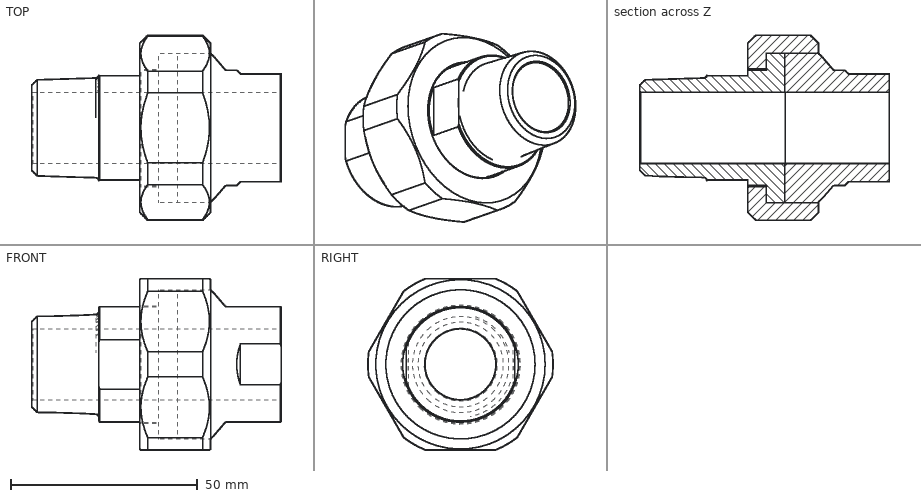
import cadquery as cq
import math

TOTAL_LENGTH = 67.0
BORE_DIAMETER = 19.0
BODY_DIAMETER = 31.0
EDGE_CHAMFER = 0.3

NUT_START = 29.0
NUT_END = 48.0
NUT_ACROSS_FLATS = 46.0
NUT_CORNER_DIAMETER = 1.08 * NUT_ACROSS_FLATS
NUT_FACE_DIAMETER = 45.4
NUT_LIP_LENGTH = 5.0
NUT_LIP_BORE_DIAMETER = 31.5
NUT_LIP_CHAMFER = 0.25

CONE_STEP_X = 49.0
CONE_STEP_DIAMETER = 38.0
CONE_END = 52.0
CONE_ROOT_FILLET = 0.5
SEAT_DIAMETER = CONE_STEP_DIAMETER + 2 * (CONE_STEP_X - NUT_END)

COLLAR_START = NUT_START + NUT_LIP_LENGTH
COLLAR_LENGTH = 5.0
JOINT_X = COLLAR_START + COLLAR_LENGTH

THREAD_END = 17.25
THREAD_ROOT_FILLET = 0.75
THREAD_END_DIAMETER = 26.8
THREAD_TAPER = 1 / 16
THREAD_CHAMFER = 1.5
SHOULDER_X = THREAD_END + THREAD_ROOT_FILLET

TAIL_FLAT_WIDTH = 28.0
FEMALE_FLAT_WIDTH = 29.0
FEMALE_FLAT_START = 56.0


def revolve_about_x(profile):
    """Revolve an XY outline, with Y as the radius, around the X axis."""
    return profile.close().revolve(360, (0, 0, 0), (1, 0, 0))


def flat_cutters(start, end, flat_width, ramp_length=0):
    """Two cutters that leave flat_width across Y, with an optional ramp rising ahead of start."""
    flat_radius = flat_width / 2
    body_radius = BODY_DIAMETER / 2
    outline = [
        (start, flat_radius),
        (end, flat_radius),
        (end, body_radius),
        (start - ramp_length, body_radius),
    ]
    upper = cq.Workplane("XY").polyline(outline).close().extrude(body_radius, both=True)
    return upper.union(upper.mirror("XZ"))


def make_nut():
    hexagon = (
        cq.Workplane("YZ", origin=(NUT_START, 0, 0))
        .polygon(6, NUT_ACROSS_FLATS / math.cos(math.pi / 6))
        .extrude(NUT_END - NUT_START)
    )
    corner_radius = NUT_CORNER_DIAMETER / 2
    face_radius = NUT_FACE_DIAMETER / 2
    corner_chamfer = corner_radius - face_radius
    envelope = revolve_about_x(
        cq.Workplane("XY")
        .moveTo(NUT_START, 0)
        .lineTo(NUT_START, face_radius)
        .lineTo(NUT_START + corner_chamfer, corner_radius)
        .lineTo(NUT_END - corner_chamfer, corner_radius)
        .lineTo(NUT_END, face_radius)
        .lineTo(NUT_END, 0)
    )
    lip_radius = NUT_LIP_BORE_DIAMETER / 2
    seat_radius = SEAT_DIAMETER / 2
    cavity = revolve_about_x(
        cq.Workplane("XY")
        .moveTo(NUT_START, 0)
        .lineTo(NUT_START, lip_radius + NUT_LIP_CHAMFER)
        .lineTo(NUT_START + NUT_LIP_CHAMFER, lip_radius)
        .lineTo(COLLAR_START, lip_radius)
        .lineTo(COLLAR_START, seat_radius)
        .lineTo(NUT_END, seat_radius)
        .lineTo(NUT_END, 0)
    )
    return hexagon.intersect(envelope).cut(cavity)


def make_tailpiece():
    bore_radius = BORE_DIAMETER / 2
    body_radius = BODY_DIAMETER / 2
    collar_radius = SEAT_DIAMETER / 2
    thread_end_radius = THREAD_END_DIAMETER / 2
    thread_start_radius = thread_end_radius - (THREAD_END - THREAD_CHAMFER) * THREAD_TAPER / 2
    fillet_middle = THREAD_ROOT_FILLET * math.sin(math.pi / 4)
    turned = revolve_about_x(
        cq.Workplane("XY")
        .moveTo(0, bore_radius + EDGE_CHAMFER)
        .lineTo(0, thread_start_radius - THREAD_CHAMFER)
        .lineTo(THREAD_CHAMFER, thread_start_radius)
        .lineTo(THREAD_END, thread_end_radius)
        .threePointArc(
            (THREAD_END + fillet_middle, thread_end_radius + THREAD_ROOT_FILLET - fillet_middle),
            (SHOULDER_X, thread_end_radius + THREAD_ROOT_FILLET),
        )
        .lineTo(SHOULDER_X, body_radius - EDGE_CHAMFER)
        .lineTo(SHOULDER_X + EDGE_CHAMFER, body_radius)
        .lineTo(COLLAR_START, body_radius)
        .lineTo(COLLAR_START, collar_radius)
        .lineTo(JOINT_X, collar_radius)
        .lineTo(JOINT_X, bore_radius)
        .lineTo(EDGE_CHAMFER, bore_radius)
    )
    return turned.cut(flat_cutters(SHOULDER_X, NUT_START, TAIL_FLAT_WIDTH))


def make_female_end():
    bore_radius = BORE_DIAMETER / 2
    body_radius = BODY_DIAMETER / 2
    seat_radius = SEAT_DIAMETER / 2
    turned = revolve_about_x(
        cq.Workplane("XY")
        .moveTo(JOINT_X, bore_radius)
        .lineTo(JOINT_X, seat_radius)
        .lineTo(NUT_END, seat_radius)
        .lineTo(CONE_STEP_X, CONE_STEP_DIAMETER / 2)
        .lineTo(CONE_END, body_radius)
        .lineTo(TOTAL_LENGTH - EDGE_CHAMFER, body_radius)
        .lineTo(TOTAL_LENGTH, body_radius - EDGE_CHAMFER)
        .lineTo(TOTAL_LENGTH, bore_radius)
    )
    cone_root = cq.selectors.BoxSelector(
        (CONE_END - CONE_ROOT_FILLET, -seat_radius, -seat_radius),
        (CONE_END + CONE_ROOT_FILLET, seat_radius, seat_radius),
        boundingbox=True,
    )
    turned = turned.edges(cone_root).fillet(CONE_ROOT_FILLET)
    ramp_length = (BODY_DIAMETER - FEMALE_FLAT_WIDTH) / 2
    flats = flat_cutters(FEMALE_FLAT_START, TOTAL_LENGTH, FEMALE_FLAT_WIDTH, ramp_length)
    return turned.cut(flats)


nut = make_nut()
tailpiece = make_tailpiece()
female_end = make_female_end()

result = cq.Compound.makeCompound([nut.val(), tailpiece.val(), female_end.val()])